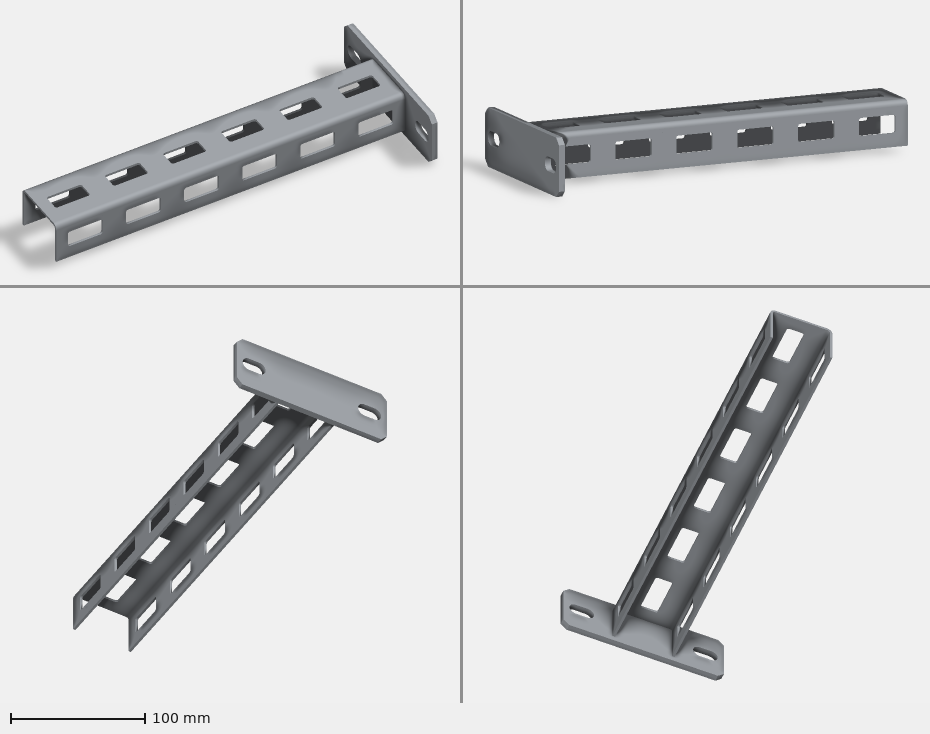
import cadquery as cq

plate_width = 130.0
plate_height = 45.0
plate_thickness = 5.0
plate_chamfer = 5.0
bolt_slot_length = 19.8
bolt_slot_height = 11.0
bolt_slot_spacing = 100.0

overall_length = 305.0
arm_length = overall_length - plate_thickness
arm_width = 50.0
arm_height = 35.0
sheet_thickness = 1.98
bend_outer_radius = 4.3
bend_inner_radius = bend_outer_radius - sheet_thickness
arm_top = arm_height / 2

slot_count = 6
slot_length = 30.0
slot_width = 14.0
slot_corner_radius = 1.8
slot_pitch = arm_length / slot_count
slot_centers_y = [-plate_thickness - slot_pitch * (i + 0.5) for i in range(slot_count)]


def make_plate():
    """Chamfered plate with a horizontal bolt slot on each side of the arm."""
    plate = (
        cq.Workplane("XZ")
        .rect(plate_width, plate_height)
        .extrude(plate_thickness)
        .edges("|Y")
        .chamfer(plate_chamfer)
    )
    bolt_slots = (
        cq.Workplane("XZ")
        .rarray(bolt_slot_spacing, 3, 2, 1)
        .slot2D(bolt_slot_length, bolt_slot_height)
        .extrude(plate_thickness)
    )
    return plate.cut(bolt_slots)


def rounded_beam(width, top, bend_radius):
    """Solid beam from the open underside to the given top, rounded along both top edges."""
    bottom = -arm_height / 2
    height = top - bottom
    return (
        cq.Workplane("XZ", origin=(0, -plate_thickness, bottom + height / 2))
        .rect(width, height)
        .extrude(arm_length)
        .edges("|Y and >Z")
        .fillet(bend_radius)
    )


def web_slot(center_y):
    """Cutter for one slot through the web, reaching down to mid-height."""
    return (
        cq.Workplane("XY", origin=(0, center_y, 0))
        .rect(slot_width, slot_length)
        .extrude(arm_top)
        .edges("|Z")
        .fillet(slot_corner_radius)
    )


def flange_slot(center_y):
    """Cutter for one pair of facing slots through both flanges."""
    return (
        cq.Workplane("YZ", origin=(0, center_y, 0))
        .rect(slot_length, slot_width)
        .extrude(arm_width / 2, both=True)
        .edges("|X")
        .fillet(slot_corner_radius)
    )


def make_arm():
    """Channel arm with evenly spaced slots in its three walls."""
    outside = rounded_beam(arm_width, arm_top, bend_outer_radius)
    inside = rounded_beam(arm_width - 2 * sheet_thickness, arm_top - sheet_thickness, bend_inner_radius)
    arm = outside.cut(inside)
    for center_y in slot_centers_y:
        arm = arm.cut(web_slot(center_y))
        arm = arm.cut(flange_slot(center_y))
    return arm


mounting_plate = make_plate()
channel_arm = make_arm()

result = cq.Compound.makeCompound([mounting_plate.val(), channel_arm.val()])